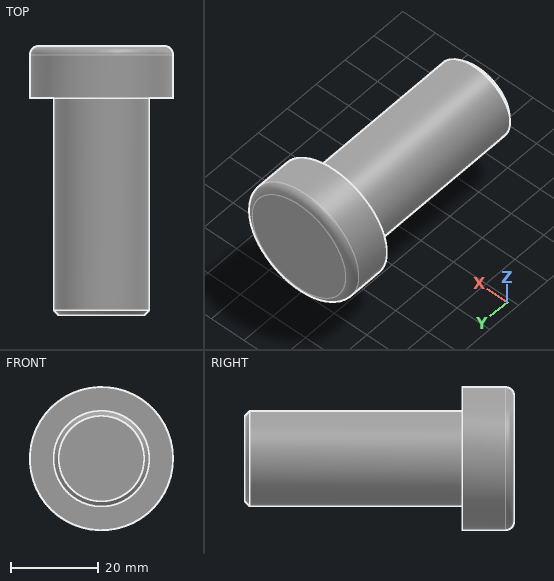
import cadquery as cq

total_length = 62.0
head_diameter = 33.0
head_length = 12.0
head_edge_radius = 2.1
shank_diameter = 22.0
shank_tip_chamfer = 1.2
shank_length = total_length - head_length


def cylinder_along_y(diameter, start, length):
    """Solid cylinder on the Y axis, running from start toward +Y."""
    base = cq.Workplane("XZ", origin=(0, start, 0))
    return base.circle(diameter / 2).extrude(-length)


shank = cylinder_along_y(shank_diameter, -shank_length, shank_length)
shank = shank.faces("<Y").edges().chamfer(shank_tip_chamfer)

head = cylinder_along_y(head_diameter, 0, head_length)
head = head.faces(">Y").edges().fillet(head_edge_radius)

result = shank.union(head)